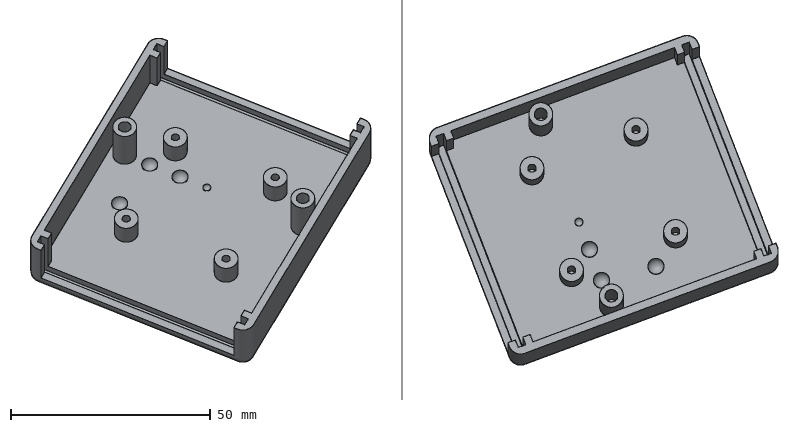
import cadquery as cq

length = 72.0
width = 62.0
height = 16.0
edge_radius = 3.0
wall = 2.0
floor_top = 2 * wall

post_length = 6.0
opening_width = width - 4 * wall
slot_width = wall
slot_bottom = wall

boss_diameter = 6.0
board_boss_top = 10.0
board_boss_hole = 2.0
board_boss_offset = 14.0
lid_boss_hole = 3.2
lid_boss_x = 24.9
feature_row_y = 7.4

large_dimple = 4.0
small_dimple = 2.0
dimples = [
    (-17.9, feature_row_y, large_dimple),
    (-9.4, feature_row_y, large_dimple),
    (-1.95, feature_row_y, small_dimple),
    (-19.45, -6.6, large_dimple),
]


def block(size_x, size_y, bottom, top, y=0):
    """Box centred on x = 0, between two heights."""
    return (
        cq.Workplane("XY", origin=(0, y, bottom))
        .rect(size_x, size_y)
        .extrude(top - bottom)
    )


def shell():
    """Rounded tray with corner posts, open ends and panel slots."""
    body = block(width, length, 0, height)
    body = body.edges("|Z").fillet(edge_radius)
    body = body.faces("<Z").edges().fillet(edge_radius)

    inner_width = width - 2 * wall
    body = body.cut(block(inner_width, length - 2 * post_length, floor_top, height))
    body = body.cut(block(opening_width, length, floor_top, height))

    slot_y = length / 2 - wall - slot_width / 2
    for side in (-1, 1):
        body = body.cut(block(inner_width, slot_width, slot_bottom, height, side * slot_y))
    return body


def boss(x, y, top, hole_diameter):
    """Tubular boss standing on the floor."""
    return (
        cq.Workplane("XY", origin=(x, y, floor_top))
        .circle(boss_diameter / 2)
        .circle(hole_diameter / 2)
        .extrude(top - floor_top)
    )


result = shell()

for side_x in (-1, 1):
    result = result.union(boss(side_x * lid_boss_x, feature_row_y, height, lid_boss_hole))
    board_x = side_x * board_boss_offset
    for side_y in (-1, 1):
        board_y = side_y * board_boss_offset
        result = result.union(boss(board_x, board_y, board_boss_top, board_boss_hole))

for x, y, diameter in dimples:
    dimple = cq.Workplane("XY", origin=(x, y, floor_top)).sphere(diameter / 2)
    result = result.cut(dimple)